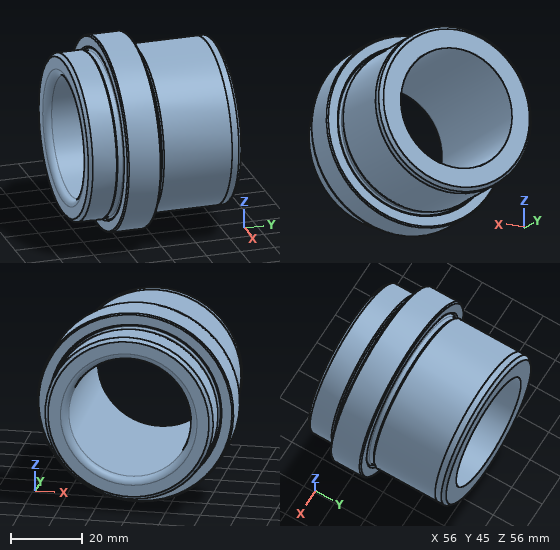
import cadquery as cq
import math


total_length = 45.0
flange_width = 10.0
spigot_length = 10.0
lead_in_length = 3.0

body_diameter = 48.0
lead_in_diameter = 47.98
flange_diameter = 56.0
bore_diameter = 35.0

end_chamfer = 1.0
flange_chamfer = 0.4
bore_entry_radius = 2.0

undercut_depth = 0.45
undercut_length = 2.0
undercut_rise = 0.7
undercut_corner_radius = 0.5

body_radius = body_diameter / 2
lead_in_radius = lead_in_diameter / 2
flange_radius = flange_diameter / 2
bore_radius = bore_diameter / 2
neck_radius = body_radius - undercut_depth
undercut_face_radius = body_radius + undercut_rise
end_radius = body_radius - end_chamfer
front_end = -spigot_length
rear_end = front_end + total_length


def corner_arc_middle(center_y, center_radius, toward_flange):
    """Midpoint of the quarter arc that blends the neck into the undercut floor."""
    reach = undercut_corner_radius * math.sqrt(0.5)
    return (center_y + toward_flange * reach, center_radius - reach)


def undercut_front(profile):
    """Undercut ahead of the flange, followed from the spigot up to the flange face."""
    floor_y = undercut_depth
    center_y = floor_y - undercut_corner_radius
    center_radius = neck_radius + undercut_corner_radius
    return (
        profile
        .lineTo(-undercut_length, body_radius)
        .lineTo(-undercut_length + undercut_depth, neck_radius)
        .lineTo(center_y, neck_radius)
        .threePointArc(corner_arc_middle(center_y, center_radius, 1), (floor_y, center_radius))
        .lineTo(floor_y, undercut_face_radius - undercut_depth)
        .lineTo(0, undercut_face_radius)
    )


def undercut_rear(profile):
    """Undercut behind the flange, followed from the flange face down to the body."""
    floor_y = flange_width - undercut_depth
    center_y = floor_y + undercut_corner_radius
    center_radius = neck_radius + undercut_corner_radius
    body_start = flange_width + undercut_length
    return (
        profile
        .lineTo(flange_width, undercut_face_radius)
        .lineTo(floor_y, undercut_face_radius - undercut_depth)
        .lineTo(floor_y, center_radius)
        .threePointArc(corner_arc_middle(center_y, center_radius, -1), (center_y, neck_radius))
        .lineTo(body_start - undercut_depth, neck_radius)
        .lineTo(body_start, body_radius)
    )


def flange_rim(profile):
    """Chamfered rim of the flange."""
    return (
        profile
        .lineTo(0, flange_radius - flange_chamfer)
        .lineTo(flange_chamfer, flange_radius)
        .lineTo(flange_width - flange_chamfer, flange_radius)
        .lineTo(flange_width, flange_radius - flange_chamfer)
    )


def spigot_end(profile):
    """Front end face and the chamfer on its outer edge."""
    return (
        profile
        .lineTo(front_end, end_radius)
        .lineTo(front_end + end_chamfer, body_radius)
    )


def body_end(profile):
    """Long body, the slightly smaller lead-in land behind it, and the chamfered rear end."""
    return (
        profile
        .lineTo(rear_end - lead_in_length, body_radius)
        .lineTo(rear_end - lead_in_length, lead_in_radius)
        .lineTo(rear_end - end_chamfer, lead_in_radius)
        .lineTo(rear_end, lead_in_radius - end_chamfer)
    )


def bore(profile):
    """Through bore, rounded where it opens at the front end."""
    arc_reach = bore_entry_radius * math.sqrt(0.5)
    center_y = front_end + bore_entry_radius
    center_radius = bore_radius + bore_entry_radius
    return (
        profile
        .lineTo(rear_end, bore_radius)
        .lineTo(center_y, bore_radius)
        .threePointArc(
            (center_y - arc_reach, center_radius - arc_reach),
            (front_end, center_radius),
        )
    )


section = cq.Workplane("YZ").moveTo(front_end, bore_radius + bore_entry_radius)
for add_stretch in (spigot_end, undercut_front, flange_rim, undercut_rear, body_end, bore):
    section = add_stretch(section)

result = section.close().revolve(360, (0, 0, 0), (1, 0, 0))